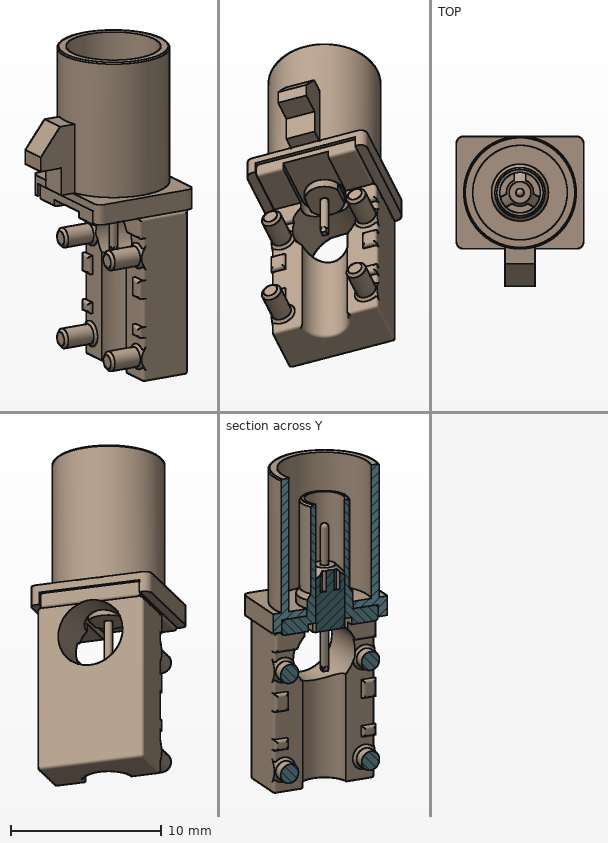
import cadquery as cq
import math


shroud_outer_radius = 3.75
shroud_inner_radius = 3.15
shroud_height = 9.4
shroud_chamfer = 0.1
flange_length = 8.5
flange_width = 2 * shroud_outer_radius
flange_thickness = 1.4
flange_corner_radius = 0.5
tab_width = 2.0
tab_reach = 6.25
tab_stem_reach = 4.65
tab_top_reach = 4.75
tab_top = 4.8
tab_nose_top = 2.9
tab_nose_bottom = 1.9

overall_height = 22.45
edge_radius = 0.2
plate_length = 7.1
plate_width = 7.3
plate_top = -0.55
plate_bottom = -1.65
block_bottom = shroud_height - overall_height
block_length = 7.5
block_back = 3.55
block_front = 0.05
pad_front = -0.25
head_bottom = -3.05
pad_length = 1.0
pad_spans = [(-7.25, -5.97), (-9.97, -9.22)]

groove_radius = 1.6
groove_top = -1.15
window_radius = 2.28
window_center_z = -3.78

leg_radius = 0.68
leg_x = 3.0
leg_heights = [-4.42, -11.45]
leg_end = -2.3
cone_base_radius = 0.9
cone_root_depth = 0.2
cone_tip = -0.13

tube_base_radius = 1.9
tube_radius = 1.67
tube_bore_radius = 1.35
tube_top = 7.25
tube_rim_chamfer = 0.13
tube_step_z = 1.0
tube_step_height = 0.4

insulator_bottom = -1.8
insulator_disc_top = 1.0
foot_width = 2.36
core_radius = 0.9
core_top = 2.6
core_chamfer = 0.17
rib_width = 0.75
rib_count = 3
pin_radius = 0.27
pin_bottom = -4.9
pin_top = 5.5
pin_tail_chamfer = 0.1
pin_tail_taper = 0.38
pin_tail_corner_radius = 0.22
pin_tip_radius = 0.26


def cylinder(radius, bottom, top):
    """Cylinder on the Z axis between two heights."""
    return cq.Workplane("XY").workplane(offset=bottom).circle(radius).extrude(top - bottom)


def block_between(x_range, y_range, z_range):
    """Box spanning the given (low, high) ranges."""
    size = [high - low for low, high in (x_range, y_range, z_range)]
    corner = (x_range[0], y_range[0], z_range[0])
    return cq.Workplane("XY").box(*size, centered=False).translate(corner)


def make_base_plate():
    half_length = plate_length / 2
    half_width = plate_width / 2
    plate = block_between((-half_length, half_length), (-half_width, half_width), (plate_bottom, plate_top))
    return plate.edges().fillet(edge_radius)


def make_latch_tab():
    profile = [
        (0, 0),
        (-tab_stem_reach, 0),
        (-tab_stem_reach, tab_nose_bottom),
        (-tab_reach, tab_nose_bottom),
        (-tab_reach, tab_nose_top),
        (-tab_top_reach, tab_top),
        (0, tab_top),
    ]
    return cq.Workplane("YZ").polyline(profile).close().extrude(tab_width / 2, both=True)


def make_housing():
    flange = (
        cq.Workplane("XY")
        .rect(flange_length, flange_width)
        .extrude(-flange_thickness)
        .edges("|Z")
        .fillet(flange_corner_radius)
    )
    shroud = cylinder(shroud_outer_radius, 0, shroud_height).faces(">Z").edges().chamfer(shroud_chamfer)
    bore = cylinder(shroud_inner_radius, 0, shroud_height)
    tube_hole = cylinder(tube_base_radius, -flange_thickness, 0)
    pocket = block_between(
        (-plate_length / 2, plate_length / 2),
        (-flange_width / 2, flange_width / 2),
        (-flange_thickness, plate_top),
    )
    body = flange.union(shroud).union(make_latch_tab())
    return body.cut(bore).cut(tube_hole).cut(pocket)


def make_groove():
    """Round-bottomed groove along Z, open towards -Y."""
    round_part = cylinder(groove_radius, block_bottom, groove_top)
    open_part = block_between((-groove_radius, groove_radius), (-plate_width, 0), (block_bottom, groove_top))
    return round_part.union(open_part)


def make_pad(outer_x, z_span):
    """Raised pad on the front face of the block, flush with the side at outer_x."""
    inner_x = outer_x - math.copysign(pad_length, outer_x)
    root = block_front + edge_radius
    pad = block_between(sorted((outer_x, inner_x)), (pad_front, root), z_span)
    return pad.faces("<Y").edges().fillet(edge_radius)


def make_leg(x, z):
    """Round solder leg pointing to -Y, with a cone at its root."""
    root = block_front + cone_root_depth
    cone_root_radius = cone_base_radius + cone_root_depth
    profile = [
        (0, root),
        (cone_root_radius, root),
        (leg_radius, cone_tip),
        (leg_radius, leg_end + edge_radius),
        (leg_radius - edge_radius, leg_end),
        (0, leg_end),
    ]
    return cq.Workplane("XY").polyline(profile).close().revolve(360, (0, 0), (0, 1)).translate((x, 0, z))


def make_block():
    half_length = block_length / 2
    across = (-half_length, half_length)
    block = block_between(across, (block_front, block_back), (block_bottom, plate_bottom))
    block = block.edges("|Z").fillet(edge_radius).cut(make_groove())
    block = block.faces("<Z").edges().fillet(edge_radius)
    head = block_between(across, (pad_front, block_back), (head_bottom, plate_bottom))
    head = head.faces("<Z").edges("<Y").fillet(edge_radius)
    envelope = block_between(across, (pad_front, block_back), (block_bottom, plate_bottom))
    head = head.intersect(envelope.edges("|Z").fillet(edge_radius))
    block = block.union(head).intersect(envelope.faces(">Z").edges("|Y").fillet(edge_radius))
    neck_half_length = half_length - edge_radius
    neck = block_between(
        (-neck_half_length, neck_half_length),
        (pad_front, block_back),
        (plate_bottom, plate_bottom + 2 * edge_radius),
    )
    block = block.union(neck)
    for z_span in pad_spans:
        for outer_x in across:
            block = block.union(make_pad(outer_x, z_span))
    for x in (-leg_x, leg_x):
        for z in leg_heights:
            block = block.union(make_leg(x, z))
    return block.intersect(block_between(across, (leg_end, block_back), (block_bottom, plate_top)))


def make_tube():
    profile = [
        (0, groove_top),
        (tube_base_radius, groove_top),
        (tube_base_radius, tube_step_z - tube_step_height),
        (tube_radius, tube_step_z),
        (tube_radius, tube_top - tube_rim_chamfer),
        (tube_radius - tube_rim_chamfer, tube_top),
        (0, tube_top),
    ]
    return cq.Workplane("XZ").polyline(profile).close().revolve(360, (0, 0), (0, 1))


def make_shell():
    groove = make_groove()
    window = (
        cq.Workplane("XZ")
        .center(0, window_center_z)
        .circle(window_radius)
        .extrude(plate_width, both=True)
    )
    shell = make_base_plate().union(make_block())
    shell = shell.cut(groove).cut(window)
    shell = shell.union(make_tube())
    return shell.cut(cylinder(tube_bore_radius, plate_bottom, tube_top))


def make_insulator():
    """Plug with a flatted foot and a coned nose; three gaps around its core leave three ribs."""
    nose_radius = core_radius - core_chamfer
    cone_height = tube_bore_radius - nose_radius
    profile = [
        (0, insulator_bottom),
        (tube_bore_radius, insulator_bottom),
        (tube_bore_radius, core_top - cone_height),
        (nose_radius, core_top),
        (0, core_top),
    ]
    plug = cq.Workplane("XZ").polyline(profile).close().revolve(360, (0, 0), (0, 1))
    for side in (-1, 1):
        x_range = sorted((side * foot_width / 2, side * 2 * tube_bore_radius))
        y_range = (-tube_bore_radius, tube_bore_radius)
        plug = plug.cut(block_between(x_range, y_range, (insulator_bottom, groove_top)))
    gaps = cylinder(tube_bore_radius, insulator_disc_top, core_top)
    gaps = gaps.cut(cylinder(core_radius, insulator_disc_top, core_top))
    for index in range(rib_count):
        rib = block_between(
            (-rib_width / 2, rib_width / 2),
            (0, 2 * tube_bore_radius),
            (insulator_disc_top, core_top),
        )
        gaps = gaps.cut(rib.rotate((0, 0, 0), (0, 0, 1), index * 360 / rib_count))
    return plug.cut(gaps).cut(cylinder(pin_radius, insulator_bottom, core_top))


def make_pin():
    """Round contact pin with a domed tip and a tapered tail of rounded square section."""
    contact = cylinder(pin_radius, insulator_bottom, pin_top).faces(">Z").edges().fillet(pin_tip_radius)
    half_width = pin_radius
    across = (-half_width, half_width)
    span = (pin_bottom, insulator_bottom)
    tail = block_between(across, across, span).edges("|Z").fillet(pin_tail_corner_radius)
    tapered = block_between(across, across, span).faces("<Z").chamfer(pin_tail_taper, pin_tail_chamfer)
    return contact.union(tail.intersect(tapered))


housing = make_housing()
shell = make_shell()
insulator = make_insulator()
pin = make_pin()

result = cq.Compound.makeCompound([housing.val(), shell.val(), insulator.val(), pin.val()])